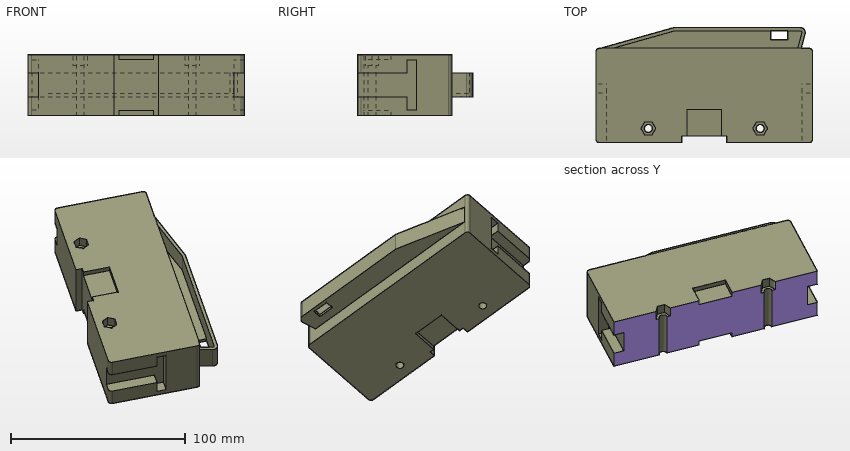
import cadquery as cq
import math

LENGTH = 124.0
DEPTH = 54.1
HEIGHT = 35.0
CORNER_RADIUS = 2.0

NOTCH_WIDTH = 25.5
NOTCH_DEPTH = 3.7

RECESS_WIDTH = 20.0
RECESS_BACK = 19.1
RECESS_DEPTH = 3.0

SLOT_DEPTH = 6.0
STEM_HEIGHT = 13.9
CROSSBAR_HEIGHT = 28.8
CROSSBAR_FRONT = 28.4
CROSSBAR_BACK = 33.7

SCREW_SPACING = 64.0
SCREW_Y = 8.2
SCREW_DIAMETER = 4.5
NUT_ACROSS_FLATS = 7.3
NUT_POCKET_DEPTH = 6.2

TRIGGER_HEIGHT = 13.9
TRIGGER_REACH = 11.9
TRIGGER_LEFT = -59.5
TRIGGER_RIGHT = 55.5
RAMP_END = -17.2
OVERHANG_ANGLE = 15.0
WALL = 2.0
OUTER_RADIUS = 3.0
INNER_RADIUS = OUTER_RADIUS - WALL

WINDOW_LEFT = 38.1
WINDOW_WIDTH = 9.7
WINDOW_DEPTH = 5.0


def box_between(x_range, y_range, height, z_middle=0.0):
    """Box spanning the given X and Y ranges, centred on z_middle."""
    (x0, x1), (y0, y1) = x_range, y_range
    return (
        cq.Workplane("XY")
        .box(x1 - x0, y1 - y0, height)
        .translate(((x0 + x1) / 2, (y0 + y1) / 2, z_middle))
    )


def end_slot(side):
    """T-shaped cutter for the end at X = side * LENGTH / 2."""
    x_range = sorted((side * LENGTH / 2, side * (LENGTH / 2 - SLOT_DEPTH)))
    stem = box_between(x_range, (0, CROSSBAR_BACK), STEM_HEIGHT)
    crossbar = box_between(x_range, (CROSSBAR_FRONT, CROSSBAR_BACK), CROSSBAR_HEIGHT)
    return stem.union(crossbar)


def make_housing():
    block = box_between((-LENGTH / 2, LENGTH / 2), (0, DEPTH), HEIGHT)
    block = block.edges("|Z").fillet(CORNER_RADIUS)

    notch_half = NOTCH_WIDTH / 2
    block = block.cut(box_between((-notch_half, notch_half), (0, NOTCH_DEPTH), HEIGHT))

    recess_half = RECESS_WIDTH / 2
    for side in (-1, 1):
        recess_middle = side * (HEIGHT - RECESS_DEPTH) / 2
        recess = box_between((-recess_half, recess_half), (0, RECESS_BACK), RECESS_DEPTH, recess_middle)
        block = block.cut(recess).cut(end_slot(side))

    screw_points = [(side * SCREW_SPACING / 2, SCREW_Y) for side in (-1, 1)]
    screw_holes = (
        cq.Workplane("XY", origin=(0, 0, -HEIGHT / 2))
        .pushPoints(screw_points)
        .circle(SCREW_DIAMETER / 2)
        .extrude(HEIGHT)
    )
    nut_across_corners = NUT_ACROSS_FLATS / math.cos(math.pi / 6)
    nut_pockets = (
        cq.Workplane("XY", origin=(0, 0, HEIGHT / 2))
        .pushPoints(screw_points)
        .polygon(6, nut_across_corners)
        .extrude(-NUT_POCKET_DEPTH)
    )
    return block.cut(screw_holes).cut(nut_pockets)


def trigger_prism(inset, corner_radius, z_bottom):
    """Trigger outline moved inwards by inset, from z_bottom up to the trigger's top."""
    ramp_angle = math.atan2(TRIGGER_REACH, RAMP_END - TRIGGER_LEFT)
    overhang = math.radians(OVERHANG_ANGLE)
    back = DEPTH + TRIGGER_REACH - inset
    left = TRIGGER_LEFT + inset / math.sin(ramp_angle)
    right = TRIGGER_RIGHT - inset / math.cos(overhang)
    ramp_end = left + (back - DEPTH) / math.tan(ramp_angle)
    tip = right + (back - DEPTH) * math.tan(overhang)
    outline = [(left, DEPTH), (right, DEPTH), (tip, back), (ramp_end, back)]
    return (
        cq.Workplane("XY", origin=(0, 0, z_bottom))
        .polyline(outline)
        .close()
        .extrude(TRIGGER_HEIGHT / 2 - z_bottom)
        .edges("|Z and >X")
        .fillet(corner_radius)
    )


def make_trigger():
    bottom = -TRIGGER_HEIGHT / 2
    body = trigger_prism(0, OUTER_RADIUS, bottom)
    cavity = trigger_prism(WALL, INNER_RADIUS, bottom + WALL)
    window_back = DEPTH + TRIGGER_REACH - WALL
    window = box_between(
        (WINDOW_LEFT, WINDOW_LEFT + WINDOW_WIDTH),
        (window_back - WINDOW_DEPTH, window_back),
        TRIGGER_HEIGHT,
    )
    return body.cut(cavity).cut(window)


housing = make_housing().solids()
trigger = make_trigger().solids()

result = cq.Compound.makeCompound([housing.val(), trigger.val()])